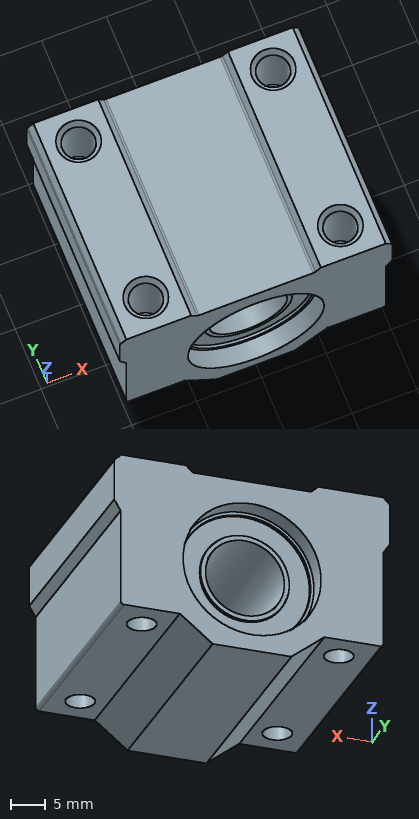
import cadquery as cq

length = 36.0
top_z = 15.0
bottom_z = -13.0
flange_half_width = 21.0
body_half_width = 20.0
flange_chamfer = 1.0
flange_straight_end_z = 7.6
flange_taper_end_z = 6.0
shoulder_z = -9.0
keel_root_half_width = 11.0
keel_half_width = 6.0
corner_radius = 0.5

channel_depth = 1.0
channel_half_width = 10.0

bearing_diameter = 21.0
seal_diameter = 20.0
sleeve_diameter = 13.5
bore_diameter = 12.0
bearing_length = 30.0
seal_recess_depth = 0.5

hole_spacing_x = 30.0
hole_spacing_y = 26.0
clear_diameter = 4.3
thread_diameter = 5.0
thread_depth = 12.0
countersink_diameter = 6.5


def housing():
    channel_z = top_z - channel_depth
    right_side = [
        (channel_half_width - channel_depth, channel_z),
        (channel_half_width, top_z),
        (flange_half_width - flange_chamfer, top_z),
        (flange_half_width, top_z - flange_chamfer),
        (flange_half_width, flange_straight_end_z),
        (body_half_width, flange_taper_end_z),
        (body_half_width, shoulder_z),
        (keel_root_half_width, shoulder_z),
        (keel_half_width, bottom_z),
    ]
    left_side = [(-x, z) for x, z in reversed(right_side)]
    block = (
        cq.Workplane("XZ")
        .polyline(right_side + left_side)
        .close()
        .extrude(length / 2, both=True)
    )
    rounded_corners = [
        (channel_half_width - channel_depth, channel_z),
        (flange_half_width, top_z - flange_chamfer),
        (body_half_width, shoulder_z),
    ]
    for x, z in rounded_corners:
        for side in (-1, 1):
            edge = cq.selectors.NearestToPointSelector((side * x, 0, z))
            block = block.edges("|Y").edges(edge).fillet(corner_radius)
    return block


def bearing_passage():
    """Everything removed around the bearing axis, as one turned shape."""
    rim_y = bearing_length / 2
    seal_y = rim_y - seal_recess_depth
    end_y = length / 2
    bearing_radius = bearing_diameter / 2
    seal_radius = seal_diameter / 2
    sleeve_radius = sleeve_diameter / 2
    bore_radius = bore_diameter / 2
    half_profile = [
        (bore_radius, rim_y),
        (sleeve_radius, rim_y),
        (sleeve_radius, seal_y),
        (seal_radius, seal_y),
        (seal_radius, rim_y),
        (bearing_radius, rim_y),
        (bearing_radius, end_y),
        (0, end_y),
    ]
    mirrored_profile = [(r, -y) for r, y in reversed(half_profile)]
    return (
        cq.Workplane("XY")
        .polyline(half_profile + mirrored_profile)
        .close()
        .revolve(360, (0, 0, 0), (0, 1, 0))
    )


def mounting_hole():
    """One stepped, countersunk hole, with its axis on Z."""
    clear_radius = clear_diameter / 2
    thread_radius = thread_diameter / 2
    countersink_radius = countersink_diameter / 2
    countersink_depth = countersink_radius - thread_radius
    thread_end_z = top_z - thread_depth
    profile = [
        (0, bottom_z),
        (clear_radius, bottom_z),
        (clear_radius, thread_end_z),
        (thread_radius, thread_end_z),
        (thread_radius, top_z - countersink_depth),
        (countersink_radius, top_z),
        (0, top_z),
    ]
    return cq.Workplane("XZ").polyline(profile).close().revolve(360, (0, 0, 0), (0, 1, 0))


result = housing().cut(bearing_passage())
for x in (-hole_spacing_x / 2, hole_spacing_x / 2):
    for y in (-hole_spacing_y / 2, hole_spacing_y / 2):
        result = result.cut(mounting_hole().translate((x, y, 0)))